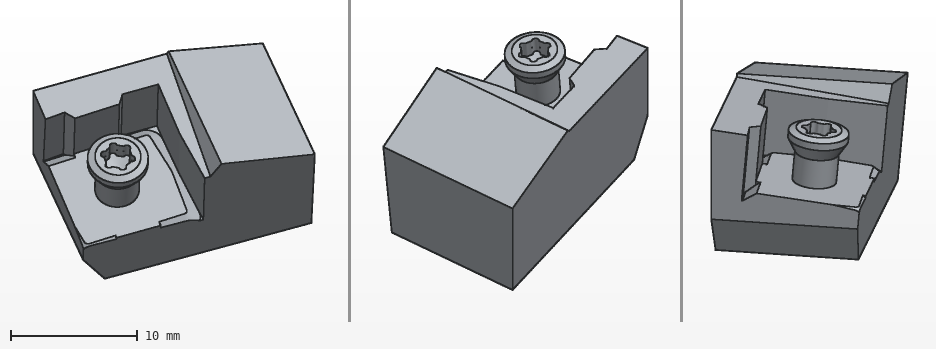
import cadquery as cq
import math

length = 19.25
width = 12.45
height = 11.32
rear_height = 9.2
ridge_y = 11.35
nose_chamfer_y = 1.92
nose_chamfer_z = 3.37
shoulder_angle = 56.0

lean_angle = 5.0
rise_angle = 0.7
floor_z = 6.15
seat_depth = 4.8
relief_depth = 0.8
relief_taper = 53.0
pad_corner_radius = 0.3
reach = 2 * length

left_land_front = 2.3
left_land_rear = 6.08
right_land_front = 2.75
right_land_rear = 6.47

screw_x = 7.5
screw_y = 4.37
shank_diameter = 3.5
head_diameter = 4.8
head_face_diameter = 3.62
cone_bottom = 2.43
cone_top = 3.56
rim_top = 4.15
head_top = 4.4
screw_embed = 1.92
socket_depth = 1.35
socket_radius = 1.08
lobe_blend_radius = 0.17
lobe_radius = 0.29
lobe_count = 6
socket_tip_depth = 0.38


def place_in_seat(shape):
    """Lean a shape from the seat frame into the body frame."""
    origin = (0, 0, 0)
    leaned = shape.rotate(origin, (1, 0, 0), rise_angle).rotate(origin, (0, 1, 0), lean_angle)
    return leaned.translate((0, 0, floor_z))


def make_body():
    profile = [
        (nose_chamfer_y, 0),
        (length, 0),
        (length, rear_height),
        (ridge_y, height),
        (0, height),
        (0, nose_chamfer_z),
    ]
    blank = cq.Workplane("YZ").polyline(profile).close().extrude(width)
    lean_run = height * math.tan(math.radians(lean_angle))
    leaning_side = [(0, 0), (width - lean_run, 0), (width, height), (0, height)]
    envelope = cq.Workplane("XZ").polyline(leaning_side).close().extrude(-length)
    return blank.intersect(envelope)


def make_top_cut():
    """Space over the sloping top face, bounded by the shoulder below the ridge."""
    above_top = place_in_seat(
        cq.Workplane("XY").workplane(offset=seat_depth).rect(reach, reach).extrude(reach)
    )
    shoulder_run = height / math.tan(math.radians(shoulder_angle))
    front_of_shoulder = [
        (-length, 0),
        (ridge_y - shoulder_run, 0),
        (ridge_y, height),
        (ridge_y, length),
        (-length, length),
    ]
    shoulder = cq.Workplane("YZ").workplane(offset=-length).polyline(front_of_shoulder).close().extrude(reach)
    return above_top.intersect(shoulder)


def make_land(left, front, rear):
    block = cq.Workplane("XY").rect(width / 2, rear - front, centered=False).extrude(-relief_depth)
    return block.translate((left, front, 0))


def make_seat_cut():
    """Pocket with relieved corners, leaving a raised pad as the seat floor."""
    walls = [
        (2.52, 0),
        (2.37, 1.71),
        (3.18, left_land_front),
        (3.0, left_land_rear),
        (2.18, 6.62),
        (2.18, 9.62),
        (7.28, 9.62),
        (16.48, 10.45),
        (16.48, -1.92),
        (2.52, -1.92),
    ]
    pad_outline = [
        (3.3, 8.5),
        (7.28, 9.05),
        (11.47, 8.9),
        (11.82, 0.25),
        (3.7, -0.75),
        (3.3, 8.5),
    ]
    pocket = cq.Workplane("XY").workplane(offset=-relief_depth).polyline(walls).close().extrude(reach)
    pad_sketch = cq.Sketch().polygon(pad_outline).vertices().fillet(pad_corner_radius)
    pad = cq.Workplane("XY").placeSketch(pad_sketch).extrude(-relief_depth, taper=-relief_taper)
    left_land = make_land(0, left_land_front, left_land_rear)
    right_land = make_land(width / 2, right_land_front, right_land_rear)
    pocket = pocket.cut(pad).cut(left_land).cut(right_land)
    return place_in_seat(pocket)


def make_socket():
    """Six-lobed drive recess ending in a shallow cone."""
    tip_z = head_top - socket_depth - socket_tip_depth
    full_depth = head_top - tip_z
    face = cq.Workplane("XY").workplane(offset=tip_z)
    lobes = face.polarArray(socket_radius, 0, 360, lobe_count).circle(lobe_radius).extrude(full_depth)
    star = face.circle(socket_radius).extrude(full_depth).union(lobes)
    star = star.edges("|Z").fillet(lobe_blend_radius)
    outer_radius = socket_radius + lobe_radius
    half_profile = [
        (0, tip_z),
        (outer_radius, tip_z + socket_tip_depth),
        (outer_radius, head_top),
        (0, head_top),
    ]
    pointed_bore = cq.Workplane("XZ").polyline(half_profile).close().revolve(360, (0, 0), (0, 1))
    return star.intersect(pointed_bore)


def make_screw():
    half_profile = [
        (0, -screw_embed),
        (shank_diameter / 2, -screw_embed),
        (shank_diameter / 2, cone_bottom),
        (head_diameter / 2, cone_top),
        (head_diameter / 2, rim_top),
        (head_face_diameter / 2, head_top),
        (0, head_top),
    ]
    screw = cq.Workplane("XZ").polyline(half_profile).close().revolve(360, (0, 0), (0, 1))
    return place_in_seat(screw.cut(make_socket()).translate((screw_x, screw_y, 0)))


result = make_body().cut(make_top_cut()).cut(make_seat_cut()).union(make_screw())